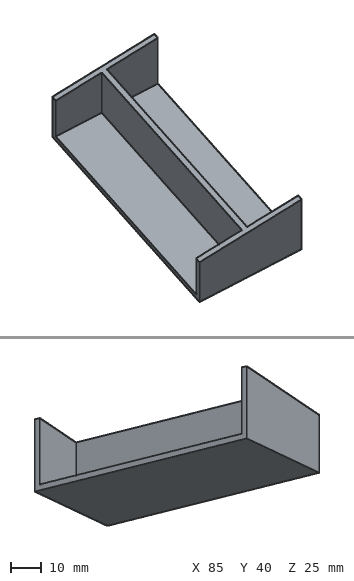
import cadquery as cq

length = 85.0
depth = 40.0
front_height = 20.0
back_height = 25.0
wall = 2.0

divider_back = depth / 2
divider_front = divider_back - wall


def top_height(y):
    """Height of the sloping top plane at a distance y from the front."""
    return front_height + (back_height - front_height) * y / depth


def sloped_panel(x_start, x_length, y_front, y_back):
    """Upright panel rising from the base to the sloping top plane."""
    profile = [
        (y_front, 0),
        (y_back, 0),
        (y_back, top_height(y_back)),
        (y_front, top_height(y_front)),
    ]
    panel = cq.Workplane("YZ").polyline(profile).close().extrude(x_length)
    return panel.translate((x_start, 0, 0))


floor = cq.Workplane("XY").box(length, depth, wall, centered=False)

left_wall = sloped_panel(0, wall, 0, depth)
right_wall = sloped_panel(length - wall, wall, 0, depth)

divider = sloped_panel(0, length, divider_front, divider_back)

result = floor.union(left_wall).union(right_wall).union(divider)